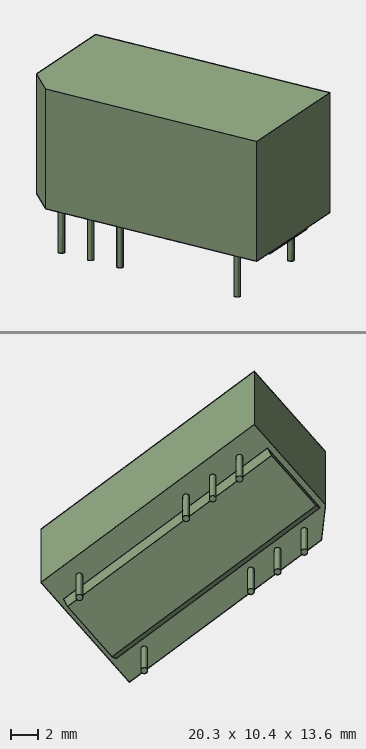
import cadquery as cq

LENGTH = 20.3
WIDTH = 10.4
TOTAL_HEIGHT = 13.6
PIN_LENGTH = 3.9
HOUSING_HEIGHT = TOTAL_HEIGHT - PIN_LENGTH
CORNER_CUT = 2.0

RIB_LENGTH = 19.4
RIB_HEIGHT = 0.49
RIB_TOP_WIDTH = 6.2
RIB_BOTTOM_WIDTH = RIB_TOP_WIDTH - 2 * RIB_HEIGHT

PIN_DIAMETER = 0.5
PIN_PITCH = 2.54
PIN_GRID_STEPS = (0, 1, 2, 6)
FIRST_PIN_X = PIN_PITCH - LENGTH / 2
ROW_SPACING = 3 * PIN_PITCH


def make_housing():
    """Box standing on Z = 0, with its -X -Y corner cut at 45 degrees."""
    box = cq.Workplane("XY").box(LENGTH, WIDTH, HOUSING_HEIGHT, centered=(True, True, False))
    return box.edges("|Z").edges("<X and <Y").chamfer(CORNER_CUT)


def make_base_rib():
    """Trapezoidal bar hanging below the housing."""
    profile = [
        (-RIB_TOP_WIDTH / 2, 0),
        (RIB_TOP_WIDTH / 2, 0),
        (RIB_BOTTOM_WIDTH / 2, -RIB_HEIGHT),
        (-RIB_BOTTOM_WIDTH / 2, -RIB_HEIGHT),
    ]
    return cq.Workplane("YZ").polyline(profile).close().extrude(RIB_LENGTH / 2, both=True)


def make_pin(x, y):
    """Round pin reaching down from the underside of the housing."""
    return cq.Workplane("XY").center(x, y).circle(PIN_DIAMETER / 2).extrude(-PIN_LENGTH)


housing = make_housing()
base_rib = make_base_rib()

pins = []
for row_y in (-ROW_SPACING / 2, ROW_SPACING / 2):
    for step in PIN_GRID_STEPS:
        pin = make_pin(FIRST_PIN_X + step * PIN_PITCH, row_y)
        pins.append(pin.val())

result = cq.Compound.makeCompound([housing.val(), base_rib.val(), *pins])